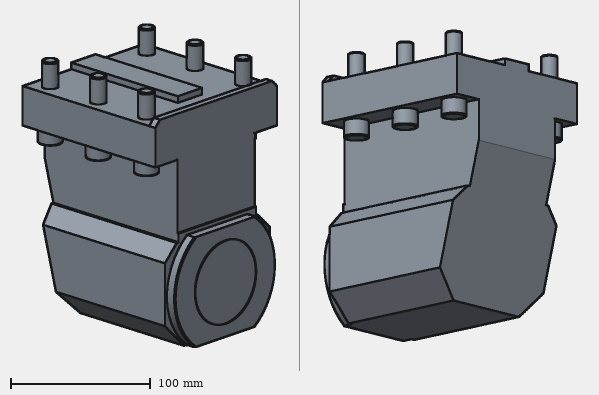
import cadquery as cq
import math

plate_length = 131.3
plate_width = 126.0
plate_bottom = 142.0
plate_top = 172.0
raised_height = 5.0
raised_top = plate_top + raised_height

key_length = 105.5
key_width = 25.2
rib_thickness = 6.1

neck_width = 80.0
housing_width = 108.5
shoulder_height = 79.9
upper_chamfer = 12.3
lower_chamfer = 20.0
slope_start = 112.0
slope_angle = 15

pad_thickness = 1.2
pad_top = 86.5
pad_face = plate_length + pad_thickness
cover_diameter = 104.3
cover_height = 83.3
cover_thickness = 7.9
cover_chamfer = 0.8
disc_diameter = 63.0
disc_thickness = 0.5

screw_rows = (-50.02, 50.02)
first_screw_x = 15.0
screw_pitch = 47.6
screws_per_row = 3
screw_top = 192.0
shank_diameter = 12.0
shank_chamfer = 1.0
head_diameter = 18.0
head_height = 12.0
head_chamfer = 0.8


def block(x_start, length, width, bottom, top):
    """Box centred on Y, starting at x_start."""
    return (
        cq.Workplane("XY", origin=(x_start, 0, bottom))
        .box(length, width, top - bottom, centered=(False, True, False))
    )


def make_body():
    """Neck, housing and end pad, with the -X side cut by the slope."""
    half_width = housing_width / 2
    half_bottom = half_width - lower_chamfer
    half_shoulder = half_width - upper_chamfer
    housing = (
        cq.Workplane("YZ")
        .polyline([
            (-half_bottom, 0),
            (half_bottom, 0),
            (half_width, lower_chamfer),
            (half_width, shoulder_height - upper_chamfer),
            (half_shoulder, shoulder_height),
            (-half_shoulder, shoulder_height),
            (-half_width, shoulder_height - upper_chamfer),
            (-half_width, lower_chamfer),
        ])
        .close()
        .extrude(pad_face)
    )
    neck = block(0, plate_length, neck_width, lower_chamfer, plate_bottom)
    pad_upper = block(plate_length, pad_thickness, neck_width, lower_chamfer, pad_top)
    slope_run = slope_start * math.tan(math.radians(slope_angle))
    slope_wedge = (
        cq.Workplane("XZ")
        .polyline([(0, 0), (slope_run, 0), (0, slope_start)])
        .close()
        .extrude(housing_width / 2, both=True)
    )
    return housing.union(neck).union(pad_upper).cut(slope_wedge)


def make_plate():
    """Plate with a key along X and a corner-chamfered rib at the +X end."""
    plate = block(0, plate_length, plate_width, plate_bottom, plate_top)
    key = block(0, key_length, key_width, plate_top, raised_top)
    half_width = plate_width / 2
    half_top = half_width - raised_height
    rib = (
        cq.Workplane("YZ", origin=(plate_length - rib_thickness, 0, 0))
        .polyline([
            (-half_width, plate_top),
            (half_width, plate_top),
            (half_top, raised_top),
            (-half_top, raised_top),
        ])
        .close()
        .extrude(rib_thickness)
    )
    return plate.union(key).union(rib)


def make_cover():
    """Round cover with flat top and bottom, carrying a thin centred disc."""
    centre = (pad_face, 0, cover_height / 2)
    cover = (
        cq.Workplane("YZ", origin=centre)
        .circle(cover_diameter / 2)
        .extrude(cover_thickness)
        .faces(">X")
        .chamfer(cover_chamfer)
        .intersect(block(pad_face, cover_thickness, cover_diameter, 0, cover_height))
    )
    disc = (
        cq.Workplane("YZ", origin=centre)
        .circle(disc_diameter / 2)
        .extrude(cover_thickness + disc_thickness)
    )
    return cover.union(disc)


def make_screw(x, y):
    """Screw with its head under the plate and its shank end above it."""
    head_bottom = plate_bottom - head_height
    head = (
        cq.Workplane("XY", origin=(x, y, head_bottom))
        .circle(head_diameter / 2)
        .extrude(head_height)
        .faces("<Z")
        .chamfer(head_chamfer)
    )
    shank = (
        cq.Workplane("XY", origin=(x, y, plate_bottom))
        .circle(shank_diameter / 2)
        .extrude(screw_top - plate_bottom)
        .faces(">Z")
        .chamfer(shank_chamfer)
    )
    return head.union(shank)


result = make_body().union(make_plate()).union(make_cover())
for row_y in screw_rows:
    for index in range(screws_per_row):
        result = result.union(make_screw(first_screw_x + index * screw_pitch, row_y))